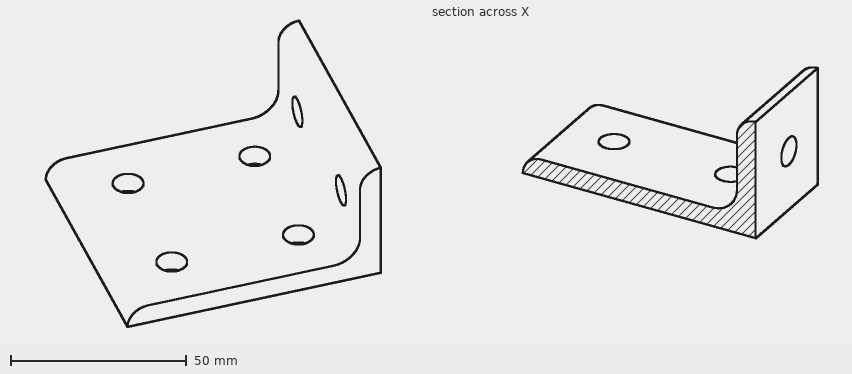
import cadquery as cq

width = 71.4
base_length = 76.2
wall_height = 38.1

thickness = 6.25
inner_radius = 8.0
toe_radius = thickness

hole_diameter = 8.8
hole_spacing = 38.1
wall_hole_height = wall_height / 2

back = base_length / 2
front = -back
wall_face = back - thickness


def angle_body():
    """L-shaped section with rounded toes and inside corner, centred along X."""
    return (
        cq.Workplane("YZ")
        .moveTo(front, 0)
        .lineTo(back, 0)
        .lineTo(back, wall_height)
        .radiusArc((wall_face, wall_height - toe_radius), -toe_radius)
        .lineTo(wall_face, thickness + inner_radius)
        .radiusArc((wall_face - inner_radius, thickness), inner_radius)
        .lineTo(front + toe_radius, thickness)
        .radiusArc((front, 0), -toe_radius)
        .close()
        .extrude(width / 2, both=True)
    )


def base_holes():
    """Square pattern of four holes through the base, centred on it."""
    return (
        cq.Workplane("XY")
        .rarray(hole_spacing, hole_spacing, 2, 2)
        .circle(hole_diameter / 2)
        .extrude(thickness)
    )


def wall_holes():
    """Pair of holes through the wall at mid-height."""
    return (
        cq.Workplane("XZ", origin=(0, back, wall_hole_height))
        .rarray(hole_spacing, 0.8, 2, 1)
        .circle(hole_diameter / 2)
        .extrude(thickness)
    )


result = angle_body().cut(base_holes()).cut(wall_holes())